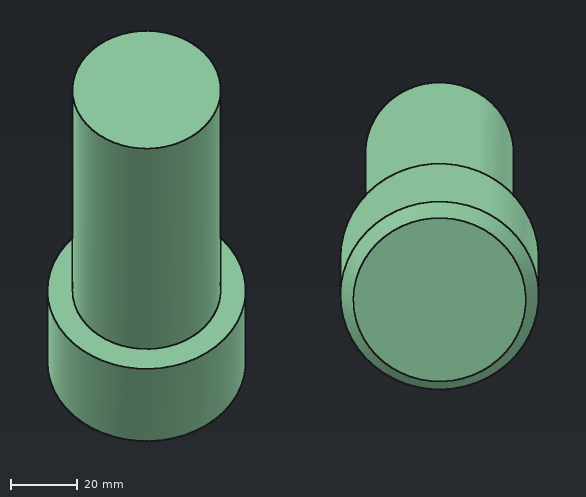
import cadquery as cq

total_height = 140.0
head_diameter = 60.0
head_height = 40.0
shank_diameter = 45.0
head_chamfer = 3.9

shank_length = total_height - head_height

head = (
    cq.Workplane("XY")
    .circle(head_diameter / 2)
    .extrude(head_height)
    .faces("<Z")
    .edges()
    .chamfer(head_chamfer)
)

result = (
    head.faces(">Z")
    .workplane()
    .circle(shank_diameter / 2)
    .extrude(shank_length)
)